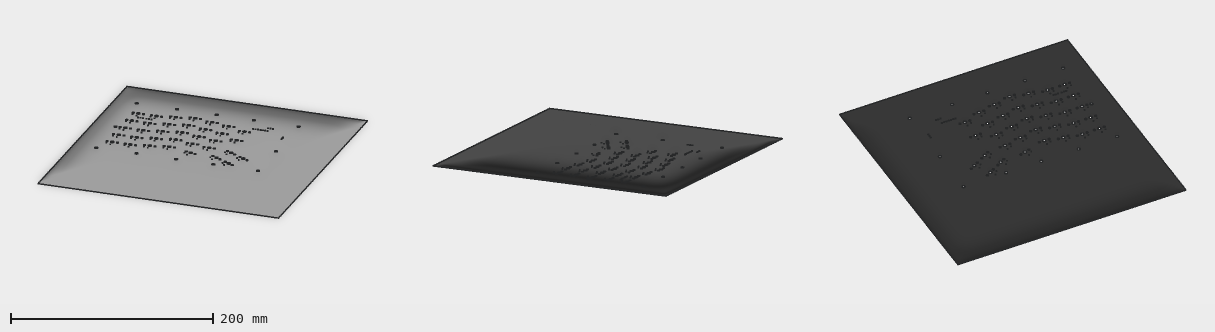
import cadquery as cq
import math


PLATE_WIDTH = 253.0
PLATE_DEPTH = 258.6
PLATE_THICKNESS = 0.41

CENTRE_POST_DIAMETER = 3.4
SIDE_POST_DIAMETER = 2.1
CONTACT_PIN_DIAMETER = 0.9
SIDE_POST_OFFSET = 5.5
SIDE_PIN = (-5.0, -4.0)
MIDDLE_PIN = (0, -6.0)

FIRST_COLUMN_X = -92.9
LAST_COLUMN_X = 21.2
TOP_ROW_Y = 69.5
BOTTOM_ROW_Y = -6.2
STAGGER = 8.0 / 2
ROW_COUNT = 5
COLUMNS = [
    (ROW_COUNT, 0),
    (ROW_COUNT, 0),
    (ROW_COUNT, STAGGER),
    (ROW_COUNT, 2 * STAGGER),
    (ROW_COUNT - 1, STAGGER),
    (ROW_COUNT - 1, 0),
]
COLUMN_PITCH = (LAST_COLUMN_X - FIRST_COLUMN_X) / len(COLUMNS)
ROW_PITCH = (TOP_ROW_Y - BOTTOM_ROW_Y) / (ROW_COUNT - 1)

LAST_COLUMN_DROP = 7.0
LAST_COLUMN_PITCH = 23.0
LAST_COLUMN_KEYS = 2

CLUSTER_CENTRE = (30.3, -4.7)
CLUSTER_TILT = -30
CLUSTER_PITCH = 19.0
SINGLE_THUMB_KEY = (-10.9, -5.2)
SINGLE_THUMB_TILT = -17

HEADER_PIN_DIAMETER = 1.1
HEADER_PITCH = 2.53
LONG_HEADER_START = (27.0, 72.0)
LONG_HEADER_PINS = 7
SHORT_HEADER_PINS = 3
UPPER_HEADER_START = (40.3, 78.5)
UPRIGHT_HEADER_START = (62.0, 62.0)
LEFT_HEADER_STARTS = [(-89.8, 60.0), (-80.7, 60.0)]

MOUNT_DIAMETER = 3.0
MOUNT_COLUMNS_X = [-103.0, -60.5, -19.0, 20.2, 67.2]
MOUNT_ROWS_Y = [-25.0, 92.5]
LEFT_MOUNT_Y = 30.8
RIGHT_MOUNT_Y = 26.6


def turned(point, degrees):
    """The point turned about the origin."""
    x, y = point
    angle = math.radians(degrees)
    return (
        x * math.cos(angle) - y * math.sin(angle),
        x * math.sin(angle) + y * math.cos(angle),
    )


def shifted(point, offset):
    return (point[0] + offset[0], point[1] + offset[1])


def key_grid():
    """Places of the upright keys, as (centre, tilt)."""
    keys = []
    for column, (count, shift) in enumerate(COLUMNS):
        x = FIRST_COLUMN_X + column * COLUMN_PITCH
        for row in range(count):
            keys.append(((x, TOP_ROW_Y + shift - row * ROW_PITCH), 0))
    for row in range(LAST_COLUMN_KEYS):
        y = TOP_ROW_Y - LAST_COLUMN_DROP - row * LAST_COLUMN_PITCH
        keys.append(((LAST_COLUMN_X, y), 0))
    return keys


def thumb_keys():
    """Places of the tilted keys, as (centre, tilt)."""
    keys = [(SINGLE_THUMB_KEY, SINGLE_THUMB_TILT)]
    half = CLUSTER_PITCH / 2
    for corner in [(-half, -half), (half, -half), (-half, half), (half, half)]:
        centre = shifted(CLUSTER_CENTRE, turned(corner, CLUSTER_TILT))
        keys.append((centre, CLUSTER_TILT))
    return keys


def footprint_points(keys, offsets):
    """The given footprint offsets placed on every key."""
    return [shifted(centre, turned(offset, tilt)) for centre, tilt in keys for offset in offsets]


def header_points(start, count, step):
    """A straight row of pins, each one step from the last."""
    return [shifted(start, (i * step[0], i * step[1])) for i in range(count)]


def all_header_pins():
    along_x = (HEADER_PITCH, 0)
    down_y = (0, -HEADER_PITCH)
    pins = header_points(LONG_HEADER_START, LONG_HEADER_PINS, along_x)
    pins += header_points(UPPER_HEADER_START, SHORT_HEADER_PINS, along_x)
    pins += header_points(UPRIGHT_HEADER_START, SHORT_HEADER_PINS, down_y)
    for start in LEFT_HEADER_STARTS:
        pins += header_points(start, SHORT_HEADER_PINS, along_x)
    return pins


def mount_points():
    points = [(x, y) for x in MOUNT_COLUMNS_X for y in MOUNT_ROWS_Y]
    points.append((MOUNT_COLUMNS_X[0], LEFT_MOUNT_Y))
    points.append((MOUNT_COLUMNS_X[-1], RIGHT_MOUNT_Y))
    return points


def drills(points, diameter):
    """Cylinders that pass through the plate at the given points."""
    return (
        cq.Workplane("XY")
        .pushPoints(points)
        .circle(diameter / 2)
        .extrude(PLATE_THICKNESS, both=True)
    )


keys = key_grid() + thumb_keys()
side_posts = [(-SIDE_POST_OFFSET, 0), (SIDE_POST_OFFSET, 0)]

hole_groups = [
    (footprint_points(keys, [(0, 0)]), CENTRE_POST_DIAMETER),
    (footprint_points(keys, side_posts), SIDE_POST_DIAMETER),
    (footprint_points(keys, [SIDE_PIN, MIDDLE_PIN]), CONTACT_PIN_DIAMETER),
    (all_header_pins(), HEADER_PIN_DIAMETER),
    (mount_points(), MOUNT_DIAMETER),
]

result = cq.Workplane("XY").box(PLATE_WIDTH, PLATE_DEPTH, PLATE_THICKNESS)
for points, diameter in hole_groups:
    result = result.cut(drills(points, diameter))